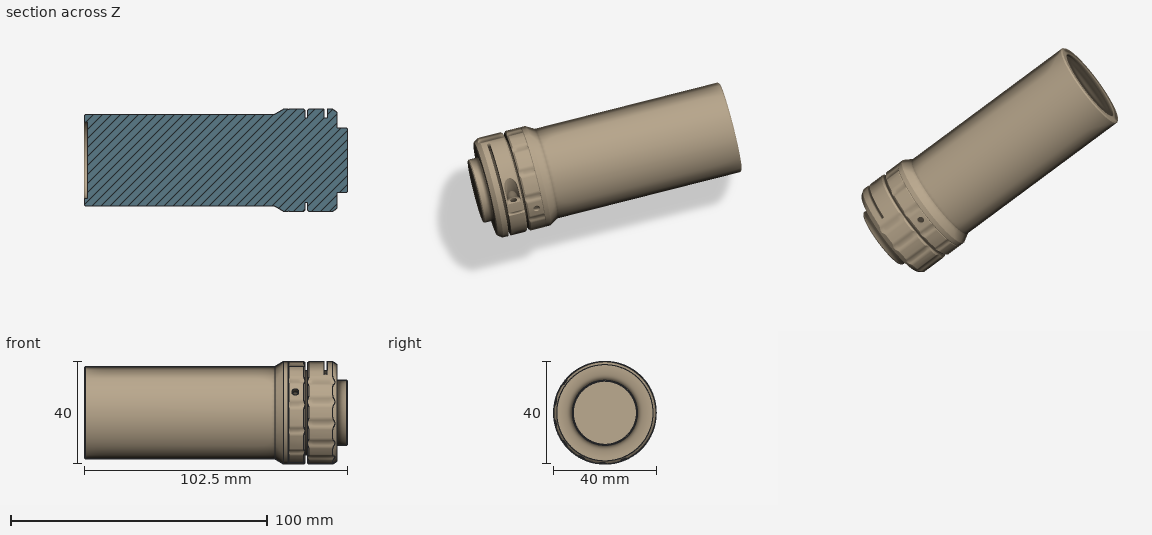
import cadquery as cq
import math


BARREL_END = 74.2
CONE_END = 77.6
COLLAR_END = 79.6
GRIP_END = 86.0
CLAMP_START = 86.85
CLAMP_END = 98.5
TOTAL_LENGTH = 102.5

BARREL_RADIUS = 18.0
RING_RADIUS = 20.0
CORE_RADIUS = 16.5
MOUNT_RADIUS = 12.7

BARREL_CHAMFER = 0.5
MOUNT_CHAMFER = 0.4
WINDOW_RADIUS = 15.1
WINDOW_DEPTH = 1.2
WINDOW_CHAMFER = 0.3

GRIP_FLUTE_COUNT = 12
GRIP_FLUTE_PITCH = 360 / GRIP_FLUTE_COUNT
GRIP_FLUTE_START = 21.0
GRIP_FLUTE_DEPTH = 0.5
GRIP_FLUTE_RADIUS = 2.5
GRIP_FLUTE_FILLET = 2.2
SEAM_CHAMFER = 0.2
RING_CHAMFER = 0.6

HOLE_COUNT = 3
HOLE_START = GRIP_FLUTE_START + GRIP_FLUTE_PITCH / 2
HOLE_DIAMETER = 2.6
HOLE_DEPTH = 3.0
HOLE_X = 82.2

CLAMP_ANGLE = 37.2
CLAMP_FLUTE_COUNT = 7
CLAMP_FLUTE_PITCH = 25.0
CLAMP_FLUTE_DEPTH = 0.6
CLAMP_FLUTE_RADIUS = 3.0
CLAMP_FLUTE_FILLET = 2.6
REAR_CHAMFER_LENGTH = 1.75
REAR_CHAMFER_HEIGHT = 1.25
SLOT_START = 93.35
SLOT_WIDTH = 1.2
SLOT_HALF_ANGLE = 94.0
GAP_WIDTH = 1.4

SCREW_X = 90.2
SCREW_AXIS_RADIUS = 17.5
SCREW_HOLE_DIAMETER = 2.7
POCKET_WIDTH = 5.2
POCKET_FLOOR = 4.5

CUT_MARGIN = 5.0
SEAM_TOLERANCE = 0.001


def cylinder(start, end, radius):
    """Solid cylinder about X between two stations."""
    return cq.Workplane("YZ", origin=(start, 0, 0)).circle(radius).extrude(end - start)


def revolve_about_x(points):
    """Solid of revolution of an (x, radius) outline."""
    return cq.Workplane("XY").polyline(points).close().revolve(360, (0, 0, 0), (1, 0, 0))


def turn(shape, angle):
    """Rotate a shape about the lens axis."""
    return shape.rotate((0, 0, 0), (1, 0, 0), angle)


def fluted_blank(start, end, angles, depth, flute_radius, fillet):
    """Cylinder with rounded lengthwise flutes at the given angles."""
    blank = cylinder(start, end, RING_RADIUS)
    cutter = cylinder(start, end, flute_radius).translate((0, RING_RADIUS - depth + flute_radius, 0))
    for angle in angles:
        blank = blank.cut(turn(cutter, angle))
    rims = blank.edges("|X").filter(lambda edge: abs(edge.Center().z) > SEAM_TOLERANCE)
    return blank.newObject(rims.vals()).fillet(fillet)


def make_body():
    """Barrel, flared collar, core under the two rings and rear mount."""
    return revolve_about_x([
        (0, 0),
        (0, BARREL_RADIUS - BARREL_CHAMFER),
        (BARREL_CHAMFER, BARREL_RADIUS),
        (BARREL_END, BARREL_RADIUS),
        (CONE_END, RING_RADIUS),
        (COLLAR_END - SEAM_CHAMFER, RING_RADIUS),
        (COLLAR_END, RING_RADIUS - SEAM_CHAMFER),
        (COLLAR_END, CORE_RADIUS),
        (CLAMP_END, CORE_RADIUS),
        (CLAMP_END, MOUNT_RADIUS),
        (TOTAL_LENGTH - MOUNT_CHAMFER, MOUNT_RADIUS),
        (TOTAL_LENGTH, MOUNT_RADIUS - MOUNT_CHAMFER),
        (TOTAL_LENGTH, 0),
    ])


def make_window_recess():
    """Shallow round recess with a chamfered rim in the barrel's front face."""
    return revolve_about_x([
        (0, 0),
        (0, WINDOW_RADIUS),
        (WINDOW_CHAMFER, WINDOW_RADIUS - WINDOW_CHAMFER),
        (WINDOW_DEPTH, WINDOW_RADIUS - WINDOW_CHAMFER),
        (WINDOW_DEPTH, 0),
    ])


def make_grip_ring():
    """Fluted ring with chamfered ends and three set screw holes."""
    angles = [GRIP_FLUTE_START + i * GRIP_FLUTE_PITCH for i in range(GRIP_FLUTE_COUNT)]
    ring = fluted_blank(
        COLLAR_END, GRIP_END, angles, GRIP_FLUTE_DEPTH, GRIP_FLUTE_RADIUS, GRIP_FLUTE_FILLET
    )
    envelope = revolve_about_x([
        (COLLAR_END, 0),
        (COLLAR_END, RING_RADIUS - SEAM_CHAMFER),
        (COLLAR_END + SEAM_CHAMFER, RING_RADIUS),
        (GRIP_END - RING_CHAMFER, RING_RADIUS),
        (GRIP_END, RING_RADIUS - RING_CHAMFER),
        (GRIP_END, 0),
    ])
    ring = ring.intersect(envelope)
    hole = (
        cq.Workplane("XZ", origin=(HOLE_X, RING_RADIUS - HOLE_DEPTH, 0))
        .circle(HOLE_DIAMETER / 2)
        .extrude(-(HOLE_DEPTH + CUT_MARGIN))
    )
    for i in range(HOLE_COUNT):
        ring = ring.cut(turn(hole, HOLE_START + i * 360 / HOLE_COUNT))
    return ring


def make_slot():
    """Sector slot that frees the clamp band, centred on +Y."""
    reach = RING_RADIUS + CUT_MARGIN
    half_angle = math.radians(SLOT_HALF_ANGLE)
    end_y = reach * math.cos(half_angle)
    end_z = reach * math.sin(half_angle)
    return (
        cq.Workplane("YZ", origin=(SLOT_START, 0, 0))
        .lineTo(end_y, -end_z)
        .threePointArc((reach, 0), (end_y, end_z))
        .close()
        .extrude(SLOT_WIDTH)
    )


def make_gap():
    """Split through the clamp band at +Y, reaching into the slot."""
    length = SLOT_START + SLOT_WIDTH - CLAMP_START
    height = RING_RADIUS + CUT_MARGIN
    return cq.Workplane("XY").box(length, height, GAP_WIDTH, centered=(False, False, True)).translate(
        (CLAMP_START, 0, 0)
    )


def make_screw_cut():
    """Clamp screw hole and round-bottomed head pocket, for a gap at +Y."""
    axis = cq.Workplane("XY", origin=(SCREW_X, SCREW_AXIS_RADIUS, 0))
    hole = axis.circle(SCREW_HOLE_DIAMETER / 2).extrude(POCKET_FLOOR)
    side = POCKET_WIDTH / 2
    open_end = RING_RADIUS + CUT_MARGIN - SCREW_AXIS_RADIUS
    pocket = (
        axis.workplane(offset=POCKET_FLOOR)
        .moveTo(side, open_end)
        .lineTo(side, 0)
        .threePointArc((0, -side), (-side, 0))
        .lineTo(-side, open_end)
        .close()
        .extrude(RING_RADIUS)
    )
    return hole.union(pocket)


def make_clamp_ring():
    """Ring fluted opposite its gap, with chamfered ends."""
    middle = (CLAMP_FLUTE_COUNT - 1) / 2
    angles = [180 + (i - middle) * CLAMP_FLUTE_PITCH for i in range(CLAMP_FLUTE_COUNT)]
    ring = fluted_blank(
        CLAMP_START, CLAMP_END, angles, CLAMP_FLUTE_DEPTH, CLAMP_FLUTE_RADIUS, CLAMP_FLUTE_FILLET
    )
    envelope = revolve_about_x([
        (CLAMP_START, 0),
        (CLAMP_START, RING_RADIUS - RING_CHAMFER),
        (CLAMP_START + RING_CHAMFER, RING_RADIUS),
        (CLAMP_END - REAR_CHAMFER_LENGTH, RING_RADIUS),
        (CLAMP_END, RING_RADIUS - REAR_CHAMFER_HEIGHT),
        (CLAMP_END, 0),
    ])
    return turn(ring.intersect(envelope), CLAMP_ANGLE)


def make_clamp_cuts():
    """Slot, gap and screw cuts of the clamp ring, all stopping at the core."""
    core = cylinder(CLAMP_START, CLAMP_END, CORE_RADIUS)
    cuts = make_slot().union(make_gap()).union(make_screw_cut()).cut(core)
    return turn(cuts, CLAMP_ANGLE)


result = (
    make_body()
    .union(make_grip_ring())
    .union(make_clamp_ring())
    .cut(make_clamp_cuts())
    .cut(make_window_recess())
)